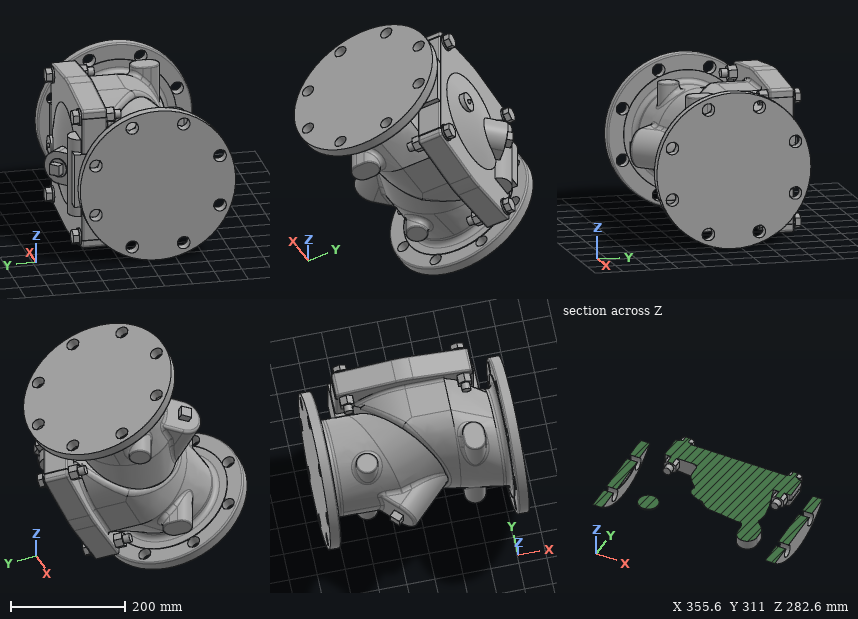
import cadquery as cq
import math

LENGTH = 355.6
COVER_HEIGHT = 282.55
TOP_REACH = 171.31
ROOT2 = math.sqrt(2)
MARGIN = 1.0

FLANGE_RADIUS = 279.4 / 2
FLANGE_THICKNESS = 19.7
FLANGE_EDGE_FILLET = 2.7
HUB_RADIUS = 110.0
HUB_THICKNESS = 21.0
BOLT_CIRCLE_RADIUS = 241.3 / 2
BOLT_HOLE_DIAMETER = 22.2
BOLT_HOLE_COUNT = 8

NECK_RADIUS = 86.5
NECK_FILLET = 9.0
NECK_END_X = 143.0

MID_SECTION_TOP = (-109.0, 84.0)
MID_SECTION_BOTTOM = (-36.0, -NECK_RADIUS)
MID_SECTION_HALF_WIDTH = 95.0
SEAT_OFFSET = -13.5
SEAT_TOP_X = -93.0
SEAT_BOTTOM_X = 46.0
SEAT_HALF_WIDTH = 104.0

CHAMBER_HALF_WIDTH = 117.0
CHAMBER_TOP_Y = 86.0
SHOULDER_Y = 18.0
CHAMBER_BOTTOM_LEFT_Y = -53.0
CHAMBER_BOTTOM_RIGHT_Y = -69.0
CHAMBER_STRAIGHT_END_X = 70.0
SEAT_EDGE_FILLET = 10.0
CHAMBER_ROOT_FILLET = 5.5

COVER_BOTTOM_Y = 79.0
COVER_TOP_Y = 124.0
COVER_HALF_LENGTH = 122.0
COVER_END_HALF_HEIGHT = 129.0
COVER_CREST_HALF_LENGTH = 15.5
COVER_CORNER_RADIUS = 5.0
COVER_EDGE_FILLET = 3.0
DOME_X = 10.0
DOME_RADIUS = 93.0
DOME_TOP_Y = 140.5
DOME_BASE_Y = 123.0

BOLT_X = 105.0
BOLT_Z = 112.0
HEX_ACROSS_FLATS = 23.4
HEAD_TOP_Y = 138.0
NUT_BOTTOM_Y = 63.4
STUD_BOTTOM_Y = 51.2
STUD_DIAMETER = 15.6
WASHER_TOP_Y = 127.0
WASHER_DIAMETER = 30.0

HINGE_X = -92.0
HINGE_RADIUS = 22.0
HINGE_TOP_Y = 142.5
HINGE_HALF_WIDTH = 72.0
PAD_BOTTOM_Y = 73.0
LEFT_PAD_X = -125.3
LEFT_PAD_HALF_WIDTH = 49.0
SIDE_RIM_X = 123.7
SIDE_RIM_HALF_WIDTH = 114.0
RIM_TOP_Y = 123.5
RIGHT_PAD_X = 132.0
RIGHT_PAD_HALF_WIDTH = 49.0
CAP_X = 55.0
CAP_RADIUS = 17.2
CAP_TOP_Y = 142.5
CAP_TIP_RADIUS = 4.0

ROUND_BOSS_X = -93.0
ROUND_BOSS_Y = -46.5
ROUND_BOSS_RADIUS = 19.2
ROUND_BOSS_Z = 104.6
LONG_BOSS_X = 100.0
LONG_BOSS_Y = -39.5
LONG_BOSS_LENGTH = 53.0
LONG_BOSS_Z = 120.8
BOSS_EDGE_FILLET = 1.8
ROUND_BOSS_ROOT_FILLET = 8.0
LONG_BOSS_ROOT_FILLET = 7.0

LOWER_HOUSING_RADIUS = 35.0
LOWER_HOUSING_EDGE = 111.0
LOWER_HOUSING_FACE = 160.0
LOWER_HOUSING_FILLET = 5.0
LOWER_ROOT_FILLET = 9.0
UPPER_HOUSING_RADIUS = 30.0
UPPER_HOUSING_REACH = 24.0
UPPER_HOUSING_FACE = 204.5
PLUG_WIDTH = 19.4
LOWER_PLUG_LENGTH = 13.4
UPPER_PLUG_LENGTH = 15.2
COLLAR_RADIUS = 17.0
COLLAR_LENGTH = 2.0


def block(x0, x1, y0, y1, half_width):
    """Box between two X and two Y values, centred on Z = 0."""
    outline = cq.Workplane("XY").workplane(offset=-half_width).moveTo(x0, y0).lineTo(x1, y0)
    return outline.lineTo(x1, y1).lineTo(x0, y1).close().extrude(2 * half_width)


def y_plane(y, x=0.0, z=0.0):
    """Workplane facing +Y whose local axes are X and -Z."""
    return cq.Workplane("XZ", origin=(x, y, z)).transformed(rotate=(180, 0, 0))


def ellipse_section(top, bottom, half_width):
    """Ellipse standing on the chord from top to bottom (x, y), half_width wide in Z."""
    dx = bottom[0] - top[0]
    dy = bottom[1] - top[1]
    chord = math.hypot(dx, dy)
    center = cq.Vector((top[0] + bottom[0]) / 2, (top[1] + bottom[1]) / 2, 0)
    along = cq.Vector(dx / chord, dy / chord, 0)
    normal = cq.Vector(-dy / chord, dx / chord, 0)
    edge = cq.Edge.makeEllipse(chord / 2, half_width, center, normal, along)
    return cq.Wire.assembleEdges([edge])


def pipe_end(side):
    """Flange, hub and short neck at one end; side is -1 or +1."""
    end = LENGTH / 2
    hub_face = end - HUB_THICKNESS
    profile = (
        cq.Workplane("XY")
        .moveTo(end, 0)
        .lineTo(end, FLANGE_RADIUS)
        .lineTo(end - FLANGE_THICKNESS, FLANGE_RADIUS)
        .lineTo(end - FLANGE_THICKNESS, HUB_RADIUS)
        .lineTo(hub_face, HUB_RADIUS)
        .lineTo(hub_face, NECK_RADIUS + NECK_FILLET)
        .radiusArc((hub_face - NECK_FILLET, NECK_RADIUS), NECK_FILLET)
        .lineTo(NECK_END_X, NECK_RADIUS)
        .lineTo(NECK_END_X, 0)
        .close()
    )
    body = profile.revolve(360, (0, 0, 0), (1, 0, 0))
    body = body.edges(cq.selectors.RadiusNthSelector(-1)).edges("<X").fillet(FLANGE_EDGE_FILLET)
    holes = (
        cq.Workplane("YZ", origin=(end - HUB_THICKNESS - MARGIN, 0, 0))
        .polarArray(BOLT_CIRCLE_RADIUS, 180 / BOLT_HOLE_COUNT, 360, BOLT_HOLE_COUNT)
        .circle(BOLT_HOLE_DIAMETER / 2)
        .extrude(HUB_THICKNESS + 2 * MARGIN)
    )
    body = body.cut(holes)
    return body if side > 0 else body.mirror("YZ")


def inlet_body():
    """Pipe that flares from the round inlet neck to the tilted seat."""
    neck = ellipse_section((-NECK_END_X, NECK_RADIUS), (-NECK_END_X, -NECK_RADIUS), NECK_RADIUS)
    middle = ellipse_section(MID_SECTION_TOP, MID_SECTION_BOTTOM, MID_SECTION_HALF_WIDTH)
    seat_top = (SEAT_TOP_X, SEAT_OFFSET - SEAT_TOP_X)
    seat_bottom = (SEAT_BOTTOM_X, SEAT_OFFSET - SEAT_BOTTOM_X)
    seat = ellipse_section(seat_top, seat_bottom, SEAT_HALF_WIDTH)
    first = cq.Workplane(cq.Solid.makeLoft([neck, middle], True))
    second = cq.Workplane(cq.Solid.makeLoft([middle, seat], True))
    return first.union(second)


def chamber_section(x, bottom_y):
    """U-shaped chamber section in a plane of constant X: flat sides on a half ellipse."""
    half = CHAMBER_HALF_WIDTH
    return (
        cq.Workplane("YZ", origin=(x, 0, 0))
        .moveTo(CHAMBER_TOP_Y, half)
        .lineTo(SHOULDER_Y, half)
        .ellipseArc(SHOULDER_Y - bottom_y, half, 90, 270, startAtCurrent=True)
        .lineTo(CHAMBER_TOP_Y, -half)
        .close()
        .wire()
        .val()
    )


def neck_section():
    """Outlet circle, split into the same number of edges as the chamber section."""
    radius = NECK_RADIUS
    top = radius / ROOT2
    side_angle = math.pi / 8
    side_y = radius * math.sin(side_angle)
    side_z = radius * math.cos(side_angle)
    return (
        cq.Workplane("YZ", origin=(NECK_END_X, 0, 0))
        .moveTo(top, top)
        .threePointArc((side_y, side_z), (0, radius))
        .ellipseArc(radius, radius, 90, 270, startAtCurrent=True)
        .threePointArc((side_y, -side_z), (top, -top))
        .threePointArc((radius, 0), (top, top))
        .close()
        .wire()
        .val()
    )


def chamber_plan(y0, y1):
    """Prism of the chamber outline: rounded on the inlet side, straight towards the outlet."""
    half = CHAMBER_HALF_WIDTH
    return (
        y_plane(y0)
        .moveTo(0, half)
        .threePointArc((-half, 0), (0, -half))
        .lineTo(CHAMBER_STRAIGHT_END_X, -half)
        .lineTo(CHAMBER_STRAIGHT_END_X, half)
        .close()
        .extrude(y1 - y0)
    )


def chamber_foot():
    """Flared foot of the chamber wall under the cover block."""
    spread = CHAMBER_HALF_WIDTH + 2 * CHAMBER_ROOT_FILLET
    wall = chamber_plan(COVER_BOTTOM_Y - 2 * CHAMBER_ROOT_FILLET, COVER_BOTTOM_Y)
    slab = block(-spread, CHAMBER_STRAIGHT_END_X, COVER_BOTTOM_Y, CHAMBER_TOP_Y, spread)
    foot = wall.union(slab)
    roots = cq.selectors.BoxSelector(
        (-CHAMBER_HALF_WIDTH, COVER_BOTTOM_Y - MARGIN, -CHAMBER_HALF_WIDTH - MARGIN),
        (CHAMBER_STRAIGHT_END_X - MARGIN, COVER_BOTTOM_Y + MARGIN, CHAMBER_HALF_WIDTH + MARGIN),
    )
    return foot.edges(roots).fillet(CHAMBER_ROOT_FILLET)


def chamber():
    """Chamber behind the seat plane, tapering down to the outlet neck."""
    left_x = -CHAMBER_HALF_WIDTH
    slope = (CHAMBER_BOTTOM_RIGHT_Y - CHAMBER_BOTTOM_LEFT_Y) / CHAMBER_STRAIGHT_END_X
    left_bottom = CHAMBER_BOTTOM_LEFT_Y + slope * left_x
    left = chamber_section(left_x, left_bottom)
    right = chamber_section(CHAMBER_STRAIGHT_END_X, CHAMBER_BOTTOM_RIGHT_Y)
    straight = cq.Workplane(cq.Solid.makeLoft([left, right], True))

    plan = chamber_plan(-FLANGE_RADIUS, COVER_TOP_Y)
    inlet_side = (
        cq.Workplane("XY")
        .workplane(offset=-FLANGE_RADIUS)
        .moveTo(SEAT_OFFSET - FLANGE_RADIUS, FLANGE_RADIUS)
        .lineTo(SEAT_OFFSET + FLANGE_RADIUS, -FLANGE_RADIUS)
        .lineTo(SEAT_OFFSET - FLANGE_RADIUS, -FLANGE_RADIUS)
        .close()
        .extrude(2 * FLANGE_RADIUS)
    )
    straight = straight.intersect(plan).cut(inlet_side)
    taper = cq.Workplane(cq.Solid.makeLoft([right, neck_section()], True))
    seat_face = straight.faces(cq.selectors.DirectionMinMaxSelector(cq.Vector(-1, -1, 0)))
    straight = seat_face.edges().fillet(SEAT_EDGE_FILLET)
    return straight.union(taper).union(chamber_foot().cut(inlet_side))


def cover_block():
    """Chamber flange and cover together: a six-sided block with a rounded crest."""
    crest = COVER_HEIGHT / 2
    x = COVER_HALF_LENGTH
    z = COVER_END_HALF_HEIGHT
    peak = crest + (crest - z) * COVER_CREST_HALF_LENGTH / (x * 2)
    shoulder = z + (peak - z) * (x - COVER_CREST_HALF_LENGTH) / x
    block_body = (
        y_plane(COVER_BOTTOM_Y)
        .moveTo(-x, -z)
        .lineTo(-COVER_CREST_HALF_LENGTH, -shoulder)
        .threePointArc((0, -crest), (COVER_CREST_HALF_LENGTH, -shoulder))
        .lineTo(x, -z)
        .lineTo(x, z)
        .lineTo(COVER_CREST_HALF_LENGTH, shoulder)
        .threePointArc((0, crest), (-COVER_CREST_HALF_LENGTH, shoulder))
        .lineTo(-x, z)
        .close()
        .extrude(COVER_TOP_Y - COVER_BOTTOM_Y)
    )
    block_body = block_body.edges("|Y").edges("<X or >X").fillet(COVER_CORNER_RADIUS)
    return block_body.faces("<Y or >Y").edges().fillet(COVER_EDGE_FILLET)


def dome():
    """Shallow spherical bulge on the cover, revolved about the Y direction."""
    rise = DOME_TOP_Y - DOME_BASE_Y
    return (
        cq.Workplane("XY", origin=(DOME_X, DOME_BASE_Y, 0))
        .moveTo(0, 0)
        .lineTo(DOME_RADIUS, 0)
        .threePointArc(dome_point(rise), (0, rise))
        .close()
        .revolve(360, (0, 0, 0), (0, 1, 0))
    )


def dome_point(rise):
    """Point half-way along the dome's profile arc."""
    sphere_radius = (DOME_RADIUS ** 2 + rise ** 2) / (2 * rise)
    half_angle = math.asin(DOME_RADIUS / sphere_radius) / 2
    return (sphere_radius * math.sin(half_angle), sphere_radius * (math.cos(half_angle) - 1) + rise)


def bolt(x, z):
    """Bolt head, washer, nut and stud end of one cover bolt."""
    hex_diameter = HEX_ACROSS_FLATS / math.cos(math.radians(30))

    def hexagon(y0, y1):
        prism = y_plane(y0, x, z).transformed(rotate=(0, 0, 90)).polygon(6, hex_diameter)
        return prism.extrude(y1 - y0)

    head = hexagon(COVER_TOP_Y, HEAD_TOP_Y)
    nut = hexagon(NUT_BOTTOM_Y, COVER_BOTTOM_Y)
    washer = y_plane(COVER_TOP_Y, x, z).circle(WASHER_DIAMETER / 2).extrude(WASHER_TOP_Y - COVER_TOP_Y)
    stud = y_plane(STUD_BOTTOM_Y, x, z).circle(STUD_DIAMETER / 2).extrude(COVER_BOTTOM_Y - STUD_BOTTOM_Y)
    return head.union(washer).union(nut).union(stud)


def cover_fittings():
    """Hinge bump, end pads, rim, dome cap and bolts on the cover."""
    hinge = (
        cq.Workplane("XY", origin=(HINGE_X, HINGE_TOP_Y - HINGE_RADIUS, -HINGE_HALF_WIDTH))
        .circle(HINGE_RADIUS)
        .extrude(2 * HINGE_HALF_WIDTH)
    )
    left_pad = block(LEFT_PAD_X, HINGE_X, PAD_BOTTOM_Y, HEAD_TOP_Y, LEFT_PAD_HALF_WIDTH)
    rim = block(-SIDE_RIM_X, SIDE_RIM_X, COVER_BOTTOM_Y, RIM_TOP_Y, SIDE_RIM_HALF_WIDTH)
    rim = rim.edges("|Z").fillet(COVER_EDGE_FILLET)
    right_pad = block(BOLT_X, RIGHT_PAD_X, PAD_BOTTOM_Y, RIM_TOP_Y, RIGHT_PAD_HALF_WIDTH)
    cap = y_plane(COVER_TOP_Y, CAP_X).circle(CAP_RADIUS).extrude(CAP_TOP_Y - COVER_TOP_Y)
    tip = cq.Workplane("XY", origin=(CAP_X, CAP_TOP_Y, 0)).sphere(CAP_TIP_RADIUS)
    parts = hinge.union(left_pad).union(rim).union(right_pad).union(cap).union(tip)
    for x in (-BOLT_X, BOLT_X):
        for z in (-BOLT_Z, BOLT_Z):
            parts = parts.union(bolt(x, z))
    return parts


def side_boss(x, y, length, height):
    """Through boss across the part; longer than its width, it becomes a slot shape."""
    width = 2 * ROUND_BOSS_RADIUS
    plane = cq.Workplane("XY", origin=(x, y, -height))
    outline = plane.slot2D(length, width, 90) if length > width else plane.circle(width / 2)
    return outline.extrude(2 * height).faces("<Z or >Z").edges().fillet(BOSS_EDGE_FILLET)


def housing_plane(axis_offset, face_distance, side):
    """Plane on a housing's end face; local X points to its rounded side, local Z outwards.

    side is +1 for the upper housing (outwards -X +Y) and -1 for the lower one (-X -Y).
    """
    x = (axis_offset - face_distance) / 2
    y = side * (axis_offset + face_distance) / 2
    return cq.Workplane(cq.Plane((x, y, 0), (1, side, 0), (-1, side, 0)))


def housing(plane, radius, inner_reach, depth):
    """D-shaped housing going inwards from its end face."""
    return (
        plane.moveTo(-inner_reach, -radius)
        .lineTo(0, -radius)
        .threePointArc((radius, 0), (0, radius))
        .lineTo(-inner_reach, radius)
        .close()
        .extrude(-depth)
    )


def lower_housing():
    """Stem housing on the -Y side, without its plug."""
    axis = LOWER_HOUSING_EDGE - LOWER_HOUSING_RADIUS * ROOT2
    depth = (LOWER_HOUSING_FACE + SEAT_OFFSET) / ROOT2
    plane = housing_plane(axis, LOWER_HOUSING_FACE, -1)
    body = housing(plane, LOWER_HOUSING_RADIUS, axis / ROOT2, depth)
    end_face = body.faces(cq.selectors.DirectionMinMaxSelector(cq.Vector(-1, -1, 0)))
    return end_face.edges("not(<(1,-1,0))").fillet(LOWER_HOUSING_FILLET)


def upper_housing():
    """Stem housing on the cover."""
    axis = 2 * TOP_REACH - UPPER_HOUSING_FACE - UPPER_HOUSING_RADIUS * ROOT2
    depth = UPPER_HOUSING_FACE / ROOT2 - COVER_BOTTOM_Y
    plane = housing_plane(axis, UPPER_HOUSING_FACE, 1)
    body = housing(plane, UPPER_HOUSING_RADIUS, UPPER_HOUSING_REACH, depth)
    collar = plane.circle(COLLAR_RADIUS).extrude(COLLAR_LENGTH)
    plug = plane.rect(PLUG_WIDTH, PLUG_WIDTH).extrude(UPPER_PLUG_LENGTH)
    return body.union(collar).union(plug)


def lower_plug():
    """Square plug on the end face of the lower stem housing."""
    axis = LOWER_HOUSING_EDGE - LOWER_HOUSING_RADIUS * ROOT2
    plane = housing_plane(axis, LOWER_HOUSING_FACE, -1)
    return plane.rect(PLUG_WIDTH, PLUG_WIDTH).extrude(LOWER_PLUG_LENGTH)


def root_fillet(body, low, high, radius):
    """Blend the free-form edges, inside a box, where a boss enters the body."""
    edges = body.edges(cq.selectors.BoxSelector(low, high)).edges("%BSPLINE")
    return edges.fillet(radius)


def add_side_boss(body, x, y, length, height, radius):
    """Add a side boss on both Z sides of the body and blend its roots."""
    boss = side_boss(x, y, length, height)
    low = (x - ROUND_BOSS_RADIUS, y - length / 2, -height)
    high = (x + ROUND_BOSS_RADIUS, y + length / 2, height)
    return root_fillet(body.union(boss), low, high, radius)


def add_lower_housing(body):
    """Add the lower stem housing and blend its root."""
    low = (-NECK_RADIUS, -NECK_RADIUS - MARGIN, -LOWER_HOUSING_RADIUS - MARGIN)
    high = (SEAT_BOTTOM_X, SEAT_OFFSET - SEAT_BOTTOM_X, LOWER_HOUSING_RADIUS + MARGIN)
    return root_fillet(body.union(lower_housing()), low, high, LOWER_ROOT_FILLET)


inlet = add_side_boss(
    inlet_body(), ROUND_BOSS_X, ROUND_BOSS_Y, 2 * ROUND_BOSS_RADIUS, ROUND_BOSS_Z, ROUND_BOSS_ROOT_FILLET
)
inlet = add_lower_housing(inlet)
outlet = add_side_boss(
    chamber(), LONG_BOSS_X, LONG_BOSS_Y, LONG_BOSS_LENGTH, LONG_BOSS_Z, LONG_BOSS_ROOT_FILLET
)
body = inlet.union(outlet).union(pipe_end(-1)).union(pipe_end(1))
cover = cover_block().union(dome()).union(upper_housing()).union(cover_fittings())
result = body.union(cover).union(lower_plug())